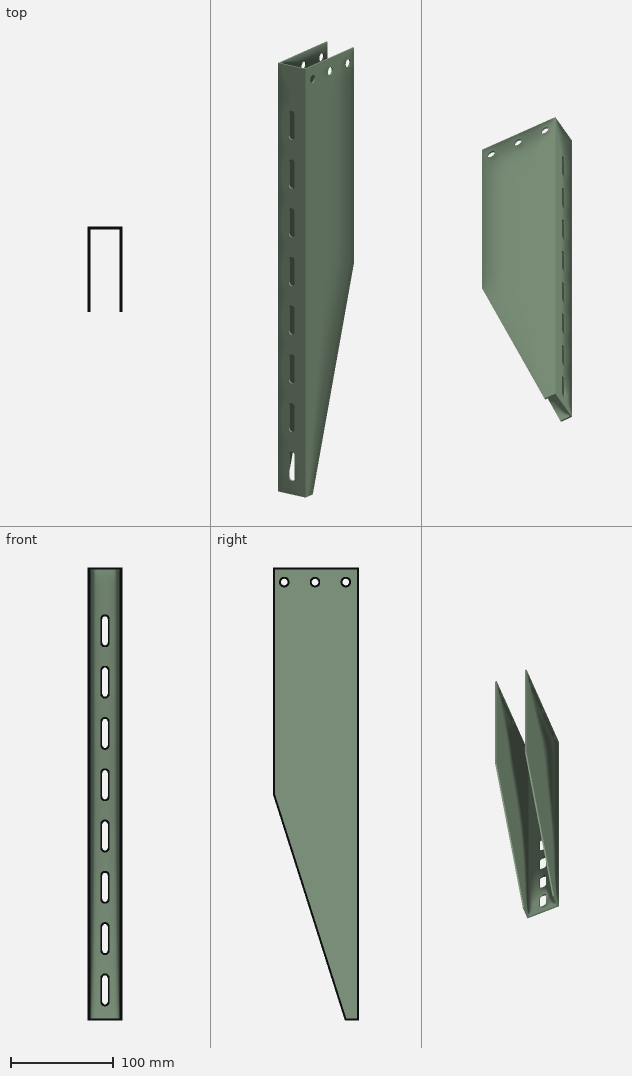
import cadquery as cq

width = 33.0
depth = 81.91
height = 440.0
thickness = 1.5

foot_depth = 12.2
straight_length = 220.8

hole_diameter = 8.2
hole_count = 3
hole_pitch = 30.0
hole_drop = 13.5
hole_edge_distance = 10.0

slot_length = 30.0
slot_width = 7.0
slot_count = 8
slot_pitch = 50.0
lowest_slot_height = 29.0

front_y = -depth


def make_tapered_block():
    """Solid with the side outline of the flanges, as wide as the channel."""
    slant_top = height - straight_length
    return (
        cq.Workplane("YZ")
        .moveTo(0, 0)
        .lineTo(0, height)
        .lineTo(front_y, height)
        .lineTo(front_y, slant_top)
        .lineTo(-foot_depth, 0)
        .close()
        .extrude(width / 2, both=True)
    )


def make_channel():
    """U-shaped channel, open at the front, top and bottom."""
    inner_width = width - 2 * thickness
    cavity = (
        cq.Workplane("XY")
        .box(inner_width, depth, height, centered=(True, False, False))
        .translate((0, front_y - thickness, 0))
    )
    return make_tapered_block().cut(cavity)


def make_flange_holes():
    """Cylinders along X that pass through both flanges."""
    first_y = front_y + hole_edge_distance
    hole_z = height - hole_drop
    centers = [(first_y + i * hole_pitch, hole_z) for i in range(hole_count)]
    return (
        cq.Workplane("YZ")
        .pushPoints(centers)
        .circle(hole_diameter / 2)
        .extrude(width, both=True)
    )


def make_web_slots():
    """Round-ended vertical slots that pass through the web."""
    centers = [(0, lowest_slot_height + i * slot_pitch) for i in range(slot_count)]
    return (
        cq.Workplane("XZ")
        .pushPoints(centers)
        .slot2D(slot_length, slot_width, 90)
        .extrude(2 * thickness, both=True)
    )


result = make_channel().cut(make_flange_holes()).cut(make_web_slots())